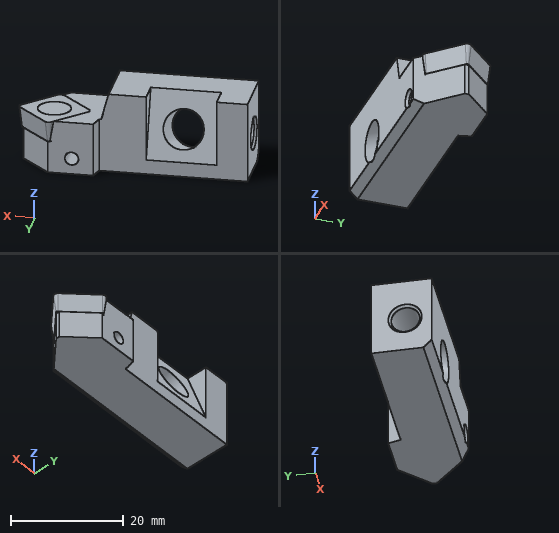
import cadquery as cq
import math

SHANK_HEIGHT = 15.0
SHANK_WIDTH = 11.0
SHANK_TOP_END = 25.25
EDGE_CHAMFER = 1.5
SHOULDER_ANGLE = 15.0

HEAD_HEIGHT = 10.0
HEAD_WIDTH = 13.4
HEAD_START = 26.95

INSERT_SIDE = 9.525
INSERT_THICKNESS = 3.97
INSERT_RELIEF_ANGLE = 7.0
INSERT_CORNER_RADIUS = 0.8
INSERT_HOLE_DIAMETER = 6.0
OVERALL_LENGTH = 42.1
OVERALL_WIDTH = 14.0

INSERT_REACH = INSERT_SIDE / math.sqrt(2) - INSERT_CORNER_RADIUS * (math.sqrt(2) - 1)
INSERT_X = OVERALL_LENGTH - INSERT_REACH
INSERT_Y = OVERALL_WIDTH - INSERT_REACH

FLANK_SETBACK = 0.54
FLANK_NOSE_CHAMFER = 0.54
FLANK_CORNER_X = INSERT_X + (INSERT_SIDE / 2 - FLANK_SETBACK) * math.sqrt(2)

CLAMP_X = 12.0
CLAMP_DIAMETER = 7.35
CLAMP_TILT = 20.0
CLAMP_FRONT_Z = 5.09
NOTCH_LENGTH = 12.8
NOTCH_DEPTH = 4.45

REAR_HOLE_DIAMETER = 5.19
REAR_HOLE_MOUTH = 6.1
REAR_HOLE_Y = 4.85
REAR_HOLE_Z = CLAMP_FRONT_Z + REAR_HOLE_Y * math.tan(math.radians(CLAMP_TILT))

CROSS_HOLE_DIAMETER = 2.46
CROSS_HOLE_MOUTH = 3.5
CROSS_HOLE_X = 31.5
CROSS_HOLE_Z = 3.0


def countersunk_drill(diameter, mouth, depth):
    """Drill along +Z from the origin with a 45 degree countersink at its start."""
    sink_depth = (mouth - diameter) / 2
    profile = [
        (0, 0),
        (mouth / 2, 0),
        (diameter / 2, sink_depth),
        (diameter / 2, depth),
        (0, depth),
    ]
    return cq.Workplane("XZ").polyline(profile).close().revolve(360, (0, 0), (0, 1))


def make_insert():
    """Tapered square insert with rounded corners and a centre hole."""
    return (
        cq.Workplane("XY")
        .sketch()
        .rect(INSERT_SIDE, INSERT_SIDE)
        .vertices()
        .fillet(INSERT_CORNER_RADIUS)
        .finalize()
        .extrude(-INSERT_THICKNESS, taper=INSERT_RELIEF_ANGLE)
        .faces(">Z")
        .workplane()
        .hole(INSERT_HOLE_DIAMETER)
        .rotate((0, 0, 0), (0, 0, 1), 45)
        .translate((INSERT_X, INSERT_Y, HEAD_HEIGHT))
    )


def make_blank():
    """Holder body: side profile and plan outline intersected, with the lower front edge chamfered."""
    lean = math.tan(math.radians(SHOULDER_ANGLE))
    shoulder_foot = SHANK_TOP_END + (SHANK_HEIGHT - HEAD_HEIGHT) * lean
    side_profile = [
        (0, 0),
        (OVERALL_LENGTH, 0),
        (OVERALL_LENGTH, HEAD_HEIGHT),
        (shoulder_foot, HEAD_HEIGHT),
        (SHANK_TOP_END, SHANK_HEIGHT),
        (0, SHANK_HEIGHT),
    ]
    plan_outline = [
        (0, 0),
        (FLANK_CORNER_X - INSERT_Y, 0),
        (FLANK_CORNER_X, INSERT_Y),
        (FLANK_CORNER_X - (HEAD_WIDTH - INSERT_Y), HEAD_WIDTH),
        (HEAD_START + (HEAD_WIDTH - SHANK_WIDTH) * lean, HEAD_WIDTH),
        (HEAD_START, SHANK_WIDTH),
        (0, SHANK_WIDTH),
    ]
    side = cq.Workplane("XZ").polyline(side_profile).close().extrude(-HEAD_WIDTH)
    plan = cq.Workplane("XY").polyline(plan_outline).close().extrude(SHANK_HEIGHT)
    plan = plan.edges("|Z and >X").chamfer(FLANK_NOSE_CHAMFER)
    chamfer_cut = (
        cq.Workplane("YZ")
        .polyline([(0, 0), (EDGE_CHAMFER, 0), (0, EDGE_CHAMFER)])
        .close()
        .extrude(OVERALL_LENGTH)
    )
    return side.intersect(plan).cut(chamfer_cut)


def make_notch():
    """Notch in the back side whose sloped floor is square to the clamp hole."""
    height = NOTCH_DEPTH / math.tan(math.radians(CLAMP_TILT))
    return (
        cq.Workplane("YZ", origin=(CLAMP_X, 0, 0))
        .polyline([
            (SHANK_WIDTH, SHANK_HEIGHT),
            (SHANK_WIDTH - NOTCH_DEPTH, SHANK_HEIGHT),
            (SHANK_WIDTH, SHANK_HEIGHT - height),
        ])
        .close()
        .extrude(NOTCH_LENGTH / 2, both=True)
    )


def make_clamp_hole():
    """Inclined cylinder through the shank from front to back."""
    tilt = math.radians(CLAMP_TILT)
    axis = (0, math.cos(tilt), math.sin(tilt))
    plane = cq.Plane(origin=(CLAMP_X, 0, CLAMP_FRONT_Z), xDir=(1, 0, 0), normal=axis)
    return cq.Workplane(plane).circle(CLAMP_DIAMETER / 2).extrude(2 * SHANK_WIDTH, both=True)


def make_rear_hole():
    """Countersunk hole along +X, ending on the clamp hole's axis."""
    drill = countersunk_drill(REAR_HOLE_DIAMETER, REAR_HOLE_MOUTH, CLAMP_X)
    return drill.rotate((0, 0, 0), (0, 1, 0), 90).translate((0, REAR_HOLE_Y, REAR_HOLE_Z))


def make_cross_hole():
    """Countersunk hole along +Y through the head."""
    drill = countersunk_drill(CROSS_HOLE_DIAMETER, CROSS_HOLE_MOUTH, HEAD_WIDTH)
    return drill.rotate((0, 0, 0), (1, 0, 0), -90).translate((CROSS_HOLE_X, 0, CROSS_HOLE_Z))


def make_holder(insert):
    """Holder with its holes; the insert's seat leaves a boss that fills the insert's hole."""
    holder = make_blank()
    for tool in (make_notch(), make_clamp_hole(), make_rear_hole(), make_cross_hole(), insert):
        holder = holder.cut(tool)
    return holder


insert = make_insert()
holder = make_holder(insert)

result = cq.Compound.makeCompound([holder.solids().val(), insert.solids().val()])